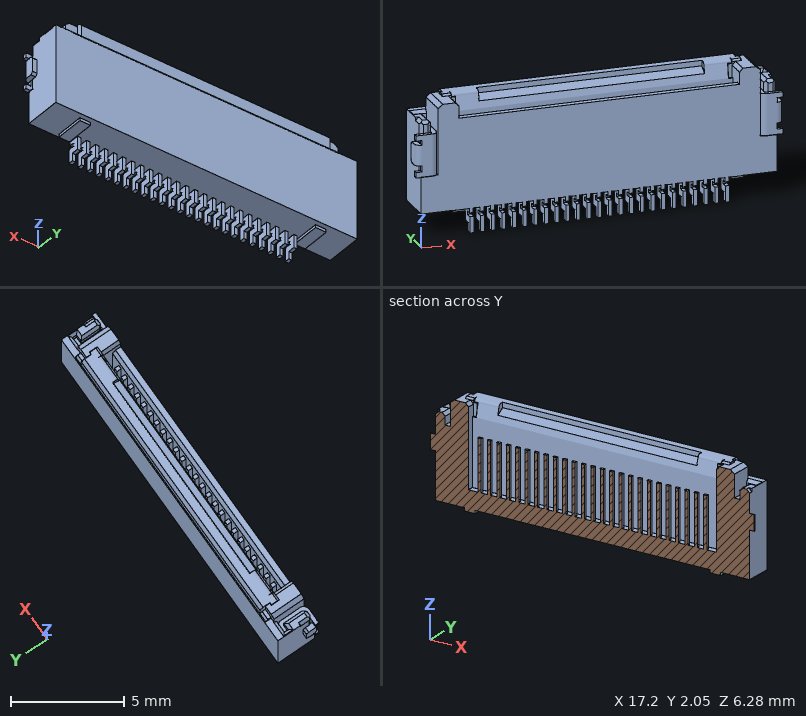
import cadquery as cq


BODY_HALF_LENGTH = 8.37
BODY_FRONT = 0.07
BODY_BACK = 2.05
BODY_BOTTOM = 1.14
BODY_TOP = 5.45

TOWER_OUTER = 7.57
TOWER_INNER = 6.59
TOWER_TOP = 6.2
TOWER_BACK = 1.7
TOWER_BEVEL_HEIGHT = 0.17
TOWER_OUTER_BEVEL = 0.22
TOWER_INNER_BEVEL = 0.15

LID_HALF_LENGTH = 6.9
LID_TOP = 6.28
LID_BACK = 2.0
LID_BACK_BEVEL = 0.17
LID_FRONT = 1.04
LID_FRONT_BEVEL_WIDTH = 0.1
EAR_HALF_LENGTH = 7.02
EAR_BACK = 1.47
LIP_RADIUS = 0.17
LIP_FRONT = 1.12
REAR_BLOCK_TOP = 5.6
REAR_BLOCK_BEVEL = 0.12

RECESS_HALF_LENGTH = 5.3
RECESS_BACK = 1.41
RECESS_BACK_FLOOR = 6.02
RECESS_FRONT_FLOOR = 5.73

SLOT_FRONT = 0.53
SLOT_BACK = 0.95
SLOT_FLOOR = 2.07
SLOT_BEVEL = 0.17
LEAD_IN_HALF_LENGTH = 6.4

CONTACT_COUNT = 25
CONTACT_PITCH = 0.5
CONTACT_WIDTH = 0.19
CONTACT_BLADE_BACK = 0.76
CONTACT_BLADE_TOP = 4.65
FOOT_BACK = 0.28
FOOT_TOP = 0.78
TAIL_BOTTOM = 0.41
TAIL_FRONT = 0.33
TAIL_BACK = 0.64
HEEL_BOTTOM = 0.93

STRIP_INNER = 6.25
STRIP_OUTER = 6.83
STRIP_FRONT = 0.25
STRIP_BACK = 1.8
STRIP_BOTTOM = 0.98

CLIP_TIP = 8.62
CLIP_THICKNESS = 0.2
CLIP_BOTTOM = 2.9
CLIP_TOP = 4.88
CLIP_BEND_RADIUS = 0.31
CLIP_HOOK_BEND_RADIUS = 0.2
CLIP_LEG_BACK = 1.57
CLIP_HOOK_END = 8.18
CLIP_NOTCH_EDGE = 8.35
CLIP_EAR_HEIGHT = 0.26
CLIP_TAB_BOTTOM = 3.43
CLIP_TAB_TOP = 4.42
CLIP_TAB_BACK = 0.69
CLIP_TAB_CORNER = 0.12
POST_INNER = 7.83
POST_BACK = 1.36
POCKET_BEVEL = 0.15
POST_SIDE_BEVEL_BACK = 0.83

OVERCUT = 0.17


def box(x, y, z):
    """Axis-aligned box from (low, high) pairs."""
    size = [high - low for low, high in (x, y, z)]
    return cq.Workplane("XY").box(*size, centered=False).translate((x[0], y[0], z[0]))


def long_prism(points, half_length):
    """Extrude a (Y, Z) outline along X, centred on X = 0."""
    return cq.Workplane("YZ").polyline(points).close().extrude(half_length, both=True)


def plan_prism(points, bottom, top):
    """Extrude an (X, Y) outline from bottom to top."""
    return cq.Workplane("XY").workplane(offset=bottom).polyline(points).close().extrude(top - bottom)


def tapered_prism(bottom_points, top_points, bottom, top):
    """Solid between one (X, Y) outline at the bottom and another at the top."""
    lower = cq.Workplane("XY").workplane(offset=bottom).polyline(bottom_points).close()
    upper = lower.workplane(offset=top - bottom).polyline(top_points).close()
    return upper.loft(ruled=True)


def both_ends(end):
    """The given right-hand end feature together with its mirror image."""
    return end.union(end.mirror("YZ"))


def make_body():
    return box(
        (-BODY_HALF_LENGTH, BODY_HALF_LENGTH),
        (BODY_FRONT, BODY_BACK),
        (BODY_BOTTOM, BODY_TOP),
    )


def make_tower():
    bevel_bottom = TOWER_TOP - TOWER_BEVEL_HEIGHT
    outline = [
        (TOWER_INNER, BODY_TOP),
        (TOWER_OUTER, BODY_TOP),
        (TOWER_OUTER, bevel_bottom),
        (TOWER_OUTER - TOWER_OUTER_BEVEL, TOWER_TOP),
        (TOWER_INNER + TOWER_INNER_BEVEL, TOWER_TOP),
        (TOWER_INNER, bevel_bottom),
    ]
    tower = (
        cq.Workplane("XZ", origin=(0, TOWER_BACK, 0))
        .polyline(outline)
        .close()
        .extrude(TOWER_BACK - BODY_FRONT)
    )
    block = box(
        (LID_HALF_LENGTH - OVERCUT, TOWER_OUTER - TOWER_OUTER_BEVEL),
        (TOWER_BACK, LID_BACK),
        (BODY_TOP, REAR_BLOCK_TOP),
    )
    block = block.edges(">Y and >Z").chamfer(REAR_BLOCK_BEVEL)
    return tower.union(block)


def make_lid():
    lid_outline = [
        (LID_FRONT, BODY_TOP),
        (LID_FRONT, TOWER_TOP),
        (LID_FRONT + LID_FRONT_BEVEL_WIDTH, LID_TOP),
        (LID_BACK - LID_BACK_BEVEL, LID_TOP),
        (LID_BACK, LID_TOP - LID_BACK_BEVEL),
        (LID_BACK, BODY_TOP),
    ]
    ear_outline = [
        (LID_FRONT, TOWER_TOP),
        (LID_FRONT + LID_FRONT_BEVEL_WIDTH, LID_TOP),
        (EAR_BACK, LID_TOP),
        (EAR_BACK, TOWER_TOP),
    ]
    lid = long_prism(lid_outline, LID_HALF_LENGTH).union(long_prism(ear_outline, EAR_HALF_LENGTH))

    lip_clearance = box(
        (-TOWER_INNER, TOWER_INNER),
        (LID_FRONT - OVERCUT, LIP_FRONT + LIP_RADIUS),
        (LID_TOP - LIP_RADIUS, LID_TOP + OVERCUT),
    )
    lip_round = (
        cq.Workplane("YZ", origin=(-TOWER_INNER, 0, 0))
        .center(LIP_FRONT + LIP_RADIUS, LID_TOP - LIP_RADIUS)
        .circle(LIP_RADIUS)
        .extrude(2 * TOWER_INNER)
    )
    lead_in_outline = [
        (SLOT_BACK, BODY_TOP),
        (LIP_FRONT, LID_TOP - LIP_RADIUS),
        (LIP_FRONT + LIP_RADIUS, BODY_TOP),
    ]
    lead_in = long_prism(lead_in_outline, LEAD_IN_HALF_LENGTH)
    lead_in_clearance = box(
        (-LEAD_IN_HALF_LENGTH, LEAD_IN_HALF_LENGTH),
        (LID_FRONT, LIP_FRONT),
        (BODY_TOP, LID_TOP),
    )
    lid = lid.cut(lip_clearance).union(lip_round).cut(lead_in_clearance).union(lead_in)

    recess_outline = [
        (SLOT_BACK, LID_TOP + OVERCUT),
        (SLOT_BACK, RECESS_FRONT_FLOOR),
        (RECESS_BACK, RECESS_BACK_FLOOR),
        (RECESS_BACK, LID_TOP + OVERCUT),
    ]
    return lid.cut(long_prism(recess_outline, RECESS_HALF_LENGTH))


def make_slot():
    outline = [
        (SLOT_FRONT, SLOT_FLOOR),
        (SLOT_FRONT, BODY_TOP - SLOT_BEVEL),
        (SLOT_FRONT - SLOT_BEVEL, BODY_TOP),
        (SLOT_BACK, BODY_TOP),
        (SLOT_BACK, SLOT_FLOOR),
    ]
    return long_prism(outline, TOWER_INNER)


def make_contacts():
    tail_outline = [
        (0, 0),
        (FOOT_BACK, 0),
        (FOOT_BACK, TAIL_BOTTOM),
        (TAIL_BACK, TAIL_BOTTOM),
        (TAIL_BACK, BODY_BOTTOM),
        (BODY_FRONT, BODY_BOTTOM),
        (BODY_FRONT, HEEL_BOTTOM),
        (TAIL_FRONT, HEEL_BOTTOM),
        (TAIL_FRONT, FOOT_TOP),
        (0, FOOT_TOP),
    ]
    tail = long_prism(tail_outline, CONTACT_WIDTH / 2)
    blade = box(
        (-CONTACT_WIDTH / 2, CONTACT_WIDTH / 2),
        (SLOT_FRONT, CONTACT_BLADE_BACK),
        (SLOT_FLOOR, CONTACT_BLADE_TOP),
    )
    middle = (CONTACT_COUNT - 1) / 2
    contacts = cq.Workplane("XY")
    for index in range(CONTACT_COUNT):
        shift = ((index - middle) * CONTACT_PITCH, 0, 0)
        contacts = contacts.add(tail.translate(shift)).add(blade.translate(shift))
    return contacts.combine()


def make_strip():
    return box((STRIP_INNER, STRIP_OUTER), (STRIP_FRONT, STRIP_BACK), (STRIP_BOTTOM, BODY_BOTTOM))


def make_post():
    """Post inside the clip: bevelled round its top and down its two front corners."""

    def outline(inset):
        left = POST_INNER + inset
        right = BODY_HALF_LENGTH - inset
        front = CLIP_THICKNESS + inset
        back = POST_BACK - inset
        return [(left, front), (right, front), (right, back), (left, back)]

    bevel_bottom = BODY_TOP - POCKET_BEVEL
    shaft = plan_prism(outline(0), CLIP_BOTTOM, BODY_TOP)
    shaft = shaft.edges("|Z and <Y").chamfer(POCKET_BEVEL)
    bevelled_top = tapered_prism(outline(0), outline(POCKET_BEVEL), bevel_bottom, BODY_TOP)
    return plan_prism(outline(0), CLIP_BOTTOM, bevel_bottom).union(bevelled_top).intersect(shaft)


def make_pocket():
    """Channel round the post, open at the front and top, with its top edges bevelled."""
    height = (CLIP_BOTTOM, BODY_TOP)
    leg_room = box((TOWER_OUTER, POST_INNER), (0, CLIP_LEG_BACK), height)
    plate_room = box((POST_INNER, BODY_HALF_LENGTH), (0, POST_SIDE_BEVEL_BACK), height)
    hook_room = box((POST_INNER, CLIP_HOOK_END), (0, CLIP_LEG_BACK), height)
    room = leg_room.union(plate_room).union(hook_room).cut(make_post())

    def mouth_outline(outset):
        front = POST_BACK - outset
        back = CLIP_LEG_BACK + outset
        end = CLIP_HOOK_END + outset
        return [(TOWER_OUTER, front), (end, front), (end, back), (TOWER_OUTER, back)]

    bevel_bottom = BODY_TOP - POCKET_BEVEL
    mouth = tapered_prism(mouth_outline(0), mouth_outline(POCKET_BEVEL), bevel_bottom, BODY_TOP)
    return room.union(mouth)


def make_clip():
    """Bent strip: front plate, leg along the tower, hook behind the post and side tab."""
    plate = (
        cq.Workplane("XY")
        .workplane(offset=CLIP_BOTTOM)
        .moveTo(CLIP_TIP, 0)
        .lineTo(TOWER_OUTER + CLIP_BEND_RADIUS, 0)
        .radiusArc((TOWER_OUTER, CLIP_BEND_RADIUS), CLIP_BEND_RADIUS)
        .lineTo(TOWER_OUTER, CLIP_LEG_BACK - CLIP_HOOK_BEND_RADIUS)
        .radiusArc((TOWER_OUTER + CLIP_HOOK_BEND_RADIUS, CLIP_LEG_BACK), CLIP_HOOK_BEND_RADIUS)
        .lineTo(CLIP_HOOK_END, CLIP_LEG_BACK)
        .lineTo(CLIP_HOOK_END, POST_BACK)
        .lineTo(POST_INNER, POST_BACK)
        .lineTo(POST_INNER, CLIP_THICKNESS)
        .lineTo(CLIP_TIP, CLIP_THICKNESS)
        .close()
        .extrude(CLIP_TOP - CLIP_BOTTOM)
    )
    ears_gap = box(
        (CLIP_NOTCH_EDGE, CLIP_TIP),
        (0, CLIP_THICKNESS),
        (CLIP_BOTTOM + CLIP_EAR_HEIGHT, CLIP_TOP - CLIP_EAR_HEIGHT),
    )
    tab_bend = CLIP_TIP - CLIP_NOTCH_EDGE
    tab = (
        cq.Workplane("XY")
        .workplane(offset=CLIP_TAB_BOTTOM)
        .moveTo(CLIP_NOTCH_EDGE, 0)
        .radiusArc((CLIP_TIP, tab_bend), -tab_bend)
        .lineTo(CLIP_TIP, CLIP_TAB_BACK)
        .lineTo(CLIP_NOTCH_EDGE, CLIP_TAB_BACK)
        .close()
        .extrude(CLIP_TAB_TOP - CLIP_TAB_BOTTOM)
        .edges("|X and >Y")
        .chamfer(CLIP_TAB_CORNER)
    )
    return plate.cut(ears_gap).union(tab)


housing = make_body().union(both_ends(make_tower())).union(make_lid())
housing = housing.cut(make_slot()).cut(both_ends(make_pocket()))
result = housing.union(both_ends(make_strip())).union(both_ends(make_clip())).union(make_contacts())